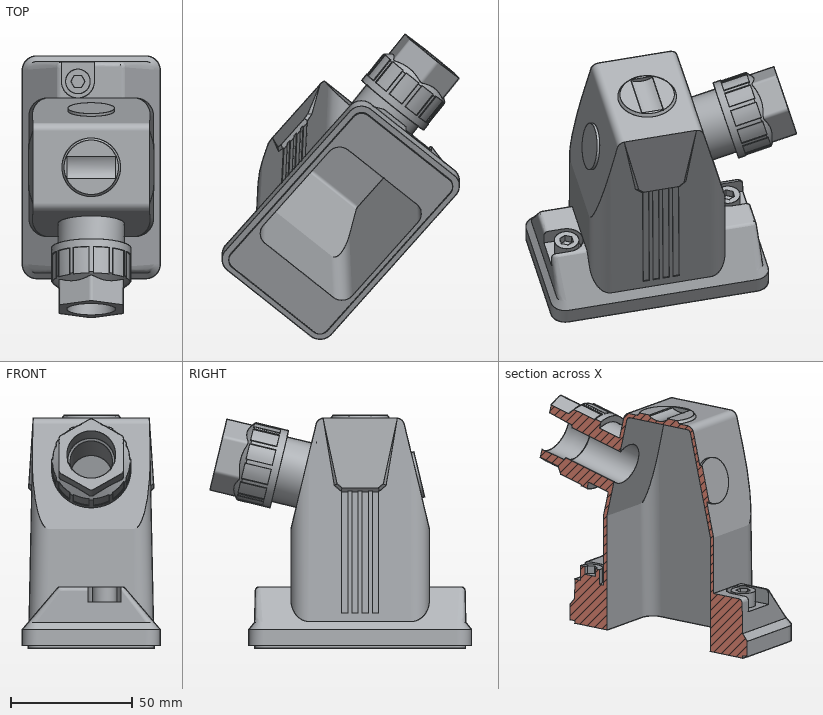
import cadquery as cq
import math

LIP_HEIGHT = 1.1
LIP_INSET = 2.5
LIP_CORNER_RADIUS = 4.2
FLANGE_HALF_X = 28.5
FLANGE_HALF_Y = 46.0
FLANGE_TOP = 7.8
FLANGE_CORNER_RADIUS = 6.0
BEVEL_TOP = 10.7
BEVEL_END_INSET = 2.4
BEVEL_CORNER_RADIUS = 3.5
BASE_TOP = 25.4
BASE_TOP_HALF_X = 13.5
BASE_TOP_HALF_Y = 43.3
BASE_TOP_CORNER_RADIUS = 2.2
BASE_TOP_FILLET = 1.8

SCREW_X = 5.5
SCREW_Y = 35.4
POCKET_RADIUS = 6.8
POCKET_FLOOR = 19.1
SCREW_HEAD_RADIUS = 5.1
SOCKET_ACROSS_CORNERS = 5.8
SOCKET_DEPTH = 3.2

HOOD_TOP = 95.0
HOOD_HALF_Y = 28.6
HOOD_FOOT_HALF_X = 25.9
HOOD_TOP_HALF_X = 24.0
HOOD_CORNER_RADIUS = 7.6
SHOULDER_Z = 49.1
ROOF_TILT = 13.5
ROOF_FILLET = 3.5
WALL = 1.9

PAD_OUTER_HALF_X = 26.0
PAD_BOTTOM_Z = 64.3
PAD_TOP_HALF_Y = 15.3
PAD_CORNER_Z = 67.0
PAD_CORNER_HALF_Y = 11.2
PAD_BOTTOM_HALF_Y = 8.2
PAD_EDGE_ANGLE = 45
GROOVE_COUNT = 4
GROOVE_PITCH = 4.2
GROOVE_WIDTH = 2.6
GROOVE_DEPTH = 0.4
GROOVE_BOTTOM_Z = 14.6

TOP_PLUG_BASE_RADIUS = 12.1
TOP_PLUG_HEIGHT = 1.2
TOP_PLUG_TAPER = 0.9
SLOT_HALF_X = 10.0
SLOT_HALF_Y = 4.5
SLOT_WALL = 0.5
SLOT_DEPTH = 1.8
BLANK_PLUG_RADIUS = 9.6
BLANK_PLUG_HEIGHT = 1.2

PORT_Z = 71.5
NECK_RADIUS = 13.7
COLLAR_START = 10.4
COLLAR_LENGTH = 3.2
COLLAR_RADIUS = 16.4
PANEL_RADIUS = 16.0
RIB_COUNT = 12
RIB_WIDTH = 1.7
RIB_END = 24.7
RIB_END_CHAMFER = 0.4
CONE_LENGTH = 2.2
NUT_END = 36.3
NUT_ACROSS_FLATS = 26.6
NUT_EDGE_RADIUS = 1.7
MOUTH_RADIUS = 10.0
MOUTH_DEPTH = 8.6
SEAT_RADIUS = 9.7
SEAT_DEPTH = 11.8
SHOULDER_DEPTH = 12.5
BORE_RADIUS = 8.7

BASE_SIDE_RUN_PER_RISE = (FLANGE_HALF_X - BASE_TOP_HALF_X) / (BASE_TOP - FLANGE_TOP)
BEVEL_HALF_X = FLANGE_HALF_X - (BEVEL_TOP - FLANGE_TOP) * BASE_SIDE_RUN_PER_RISE
BEVEL_HALF_Y = FLANGE_HALF_Y - BEVEL_END_INSET
TILT = math.radians(ROOF_TILT)
PORT_Y = HOOD_HALF_Y - (PORT_Z - SHOULDER_Z) * math.tan(TILT)


def both_ends(solid):
    """Join a solid with its copy turned half a turn about Z."""
    return solid.union(solid.rotate((0, 0, 0), (0, 0, 1), 180))


def rounded_rectangle(half_x, half_y, radius):
    return cq.Sketch().rect(2 * half_x, 2 * half_y).vertices().fillet(radius)


def rounded_block(bottom_z, bottom, top_z, top):
    """Solid between two rounded rectangles at the given heights."""
    raised_top = top.moved(cq.Location(cq.Vector(0, 0, top_z - bottom_z)))
    return cq.Workplane("XY", origin=(0, 0, bottom_z)).placeSketch(bottom, raised_top).loft(ruled=True)


def make_base():
    """Flange on a recessed lip, with a sloping ridge that carries the screws at its ends."""
    lip_half_x = FLANGE_HALF_X - LIP_INSET
    lip_half_y = FLANGE_HALF_Y - LIP_INSET
    lip_outline = rounded_rectangle(lip_half_x, lip_half_y, LIP_CORNER_RADIUS)
    flange_outline = rounded_rectangle(FLANGE_HALF_X, FLANGE_HALF_Y, FLANGE_CORNER_RADIUS)
    bevel_outline = rounded_rectangle(BEVEL_HALF_X, BEVEL_HALF_Y, BEVEL_CORNER_RADIUS)
    ridge_outline = rounded_rectangle(BASE_TOP_HALF_X, BASE_TOP_HALF_Y, BASE_TOP_CORNER_RADIUS)
    lip = rounded_block(0, lip_outline, LIP_HEIGHT, lip_outline)
    plate = rounded_block(LIP_HEIGHT, flange_outline, FLANGE_TOP, flange_outline)
    bevel = rounded_block(FLANGE_TOP, flange_outline, BEVEL_TOP, bevel_outline)
    ridge = rounded_block(BEVEL_TOP, bevel_outline, BASE_TOP, ridge_outline)
    ridge = ridge.faces(">Z").edges().fillet(BASE_TOP_FILLET)
    return lip.union(plate).union(bevel).union(ridge)


def make_screw_pocket():
    channel_length = FLANGE_HALF_Y - SCREW_Y
    height = BASE_TOP - POCKET_FLOOR
    floor = cq.Workplane("XY", origin=(SCREW_X, -SCREW_Y, POCKET_FLOOR))
    channel = floor.center(0, -channel_length / 2).rect(2 * POCKET_RADIUS, channel_length).extrude(height)
    return both_ends(floor.circle(POCKET_RADIUS).extrude(height).union(channel))


def make_screw():
    head = (
        cq.Workplane("XY", origin=(SCREW_X, -SCREW_Y, POCKET_FLOOR))
        .circle(SCREW_HEAD_RADIUS)
        .extrude(BASE_TOP - POCKET_FLOOR)
        .faces(">Z")
        .workplane()
        .polygon(6, SOCKET_ACROSS_CORNERS)
        .cutBlind(-SOCKET_DEPTH)
    )
    return both_ends(head)


def hood_body(bottom_z, inset):
    """Drafted hood with a sloping roof, shrunk by an inset to give its cavity."""
    top_z = HOOD_TOP - inset
    half_y = HOOD_HALF_Y - inset
    foot_x = HOOD_FOOT_HALF_X - inset
    top_x = HOOD_TOP_HALF_X - inset
    shoulder_z = SHOULDER_Z - inset * math.tan(TILT / 2)
    roof_half_y = half_y - (top_z - shoulder_z) * math.tan(TILT)
    drafted = (
        cq.Workplane("XZ")
        .polyline([(-foot_x, bottom_z), (foot_x, bottom_z), (top_x, top_z), (-top_x, top_z)])
        .close()
        .extrude(half_y, both=True)
        .faces("<Y or >Y")
        .edges("not #Z")
        .fillet(HOOD_CORNER_RADIUS - inset)
    )
    profile = (
        cq.Workplane("YZ")
        .polyline([
            (-half_y, bottom_z),
            (half_y, bottom_z),
            (half_y, shoulder_z),
            (roof_half_y, top_z),
            (-roof_half_y, top_z),
            (-half_y, shoulder_z),
        ])
        .close()
        .extrude(FLANGE_HALF_X, both=True)
        .faces(">Z")
        .edges("|X")
        .fillet(ROOF_FILLET - inset)
    )
    return drafted.intersect(profile)


def make_grip_pads():
    """Wedges that are flush with the hood at its top and stand out towards their bottom."""
    raised = (
        cq.Workplane("YZ", origin=(HOOD_TOP_HALF_X, 0, 0))
        .polyline([
            (-PAD_TOP_HALF_Y, HOOD_TOP),
            (-PAD_CORNER_HALF_Y, PAD_CORNER_Z),
            (-PAD_BOTTOM_HALF_Y, PAD_BOTTOM_Z),
            (PAD_BOTTOM_HALF_Y, PAD_BOTTOM_Z),
            (PAD_CORNER_HALF_Y, PAD_CORNER_Z),
            (PAD_TOP_HALF_Y, HOOD_TOP),
        ])
        .close()
        .extrude(PAD_OUTER_HALF_X - HOOD_TOP_HALF_X, taper=PAD_EDGE_ANGLE)
    )
    wedge = (
        cq.Workplane("XZ")
        .polyline([
            (0, HOOD_TOP),
            (HOOD_TOP_HALF_X, HOOD_TOP),
            (PAD_OUTER_HALF_X, PAD_BOTTOM_Z),
            (0, PAD_BOTTOM_Z),
        ])
        .close()
        .extrude(HOOD_HALF_Y, both=True)
    )
    return both_ends(raised.intersect(wedge))


def make_side_grooves():
    """Upright grooves, of even depth in the drafted hood sides, from the foot up to the pads."""
    draft_run_per_rise = (HOOD_FOOT_HALF_X - HOOD_TOP_HALF_X) / (HOOD_TOP - LIP_HEIGHT)
    floor_foot = HOOD_FOOT_HALF_X - GROOVE_DEPTH - draft_run_per_rise * (GROOVE_BOTTOM_Z - LIP_HEIGHT)
    floor_top = HOOD_FOOT_HALF_X - GROOVE_DEPTH - draft_run_per_rise * (PAD_CORNER_Z - LIP_HEIGHT)
    grooves = cq.Workplane("XY")
    for index in range(GROOVE_COUNT):
        y = (index - (GROOVE_COUNT - 1) / 2) * GROOVE_PITCH
        grooves = grooves.union(
            cq.Workplane("XZ", origin=(0, y, 0))
            .polyline([
                (floor_foot, GROOVE_BOTTOM_Z),
                (FLANGE_HALF_X, GROOVE_BOTTOM_Z),
                (FLANGE_HALF_X, PAD_CORNER_Z),
                (floor_top, PAD_CORNER_Z),
            ])
            .close()
            .extrude(GROOVE_WIDTH / 2, both=True)
        )
    return both_ends(grooves)


def make_top_plug():
    return (
        cq.Workplane("XY", origin=(0, 0, HOOD_TOP))
        .circle(TOP_PLUG_BASE_RADIUS)
        .workplane(offset=TOP_PLUG_HEIGHT)
        .circle(TOP_PLUG_BASE_RADIUS - TOP_PLUG_TAPER)
        .loft()
    )


def make_coin_slot():
    """Trough of circular section along X, cut through the top plug."""
    top = HOOD_TOP + TOP_PLUG_HEIGHT
    return (
        cq.Workplane("YZ")
        .moveTo(-SLOT_HALF_Y, top)
        .lineTo(-SLOT_HALF_Y, top - SLOT_WALL)
        .threePointArc((0, top - SLOT_DEPTH), (SLOT_HALF_Y, top - SLOT_WALL))
        .lineTo(SLOT_HALF_Y, top)
        .close()
        .extrude(SLOT_HALF_X, both=True)
    )


def port_frame(side, offset):
    """Work plane parallel to a sloping hood face, at an offset from its port centre."""
    normal = cq.Vector(0, side * math.cos(TILT), math.sin(TILT))
    centre = cq.Vector(0, side * PORT_Y, PORT_Z) + normal * offset
    return cq.Workplane(cq.Plane(origin=centre, xDir=(1, 0, 0), normal=normal))


def make_blank_plug():
    return port_frame(1, 0).circle(BLANK_PLUG_RADIUS).extrude(BLANK_PLUG_HEIGHT)


def gland_cylinder(start, end, radius):
    return port_frame(-1, start).circle(radius).extrude(end - start)


def gland_frustum(start, end, start_radius, end_radius):
    return port_frame(-1, start).circle(start_radius).workplane(offset=end - start).circle(end_radius).loft()


def make_gland_nut():
    corner_to_corner = NUT_ACROSS_FLATS / math.cos(math.radians(30))
    nut_start = COLLAR_START + COLLAR_LENGTH
    hexagon = (
        port_frame(-1, nut_start)
        .transformed(rotate=(0, 0, 90))
        .polygon(6, corner_to_corner)
        .extrude(NUT_END - nut_start)
    )
    axis = port_frame(-1, 0).plane.zDir
    return hexagon.edges(cq.selectors.ParallelDirSelector(axis)).fillet(NUT_EDGE_RADIUS)


def make_gland_ribs():
    start = COLLAR_START + COLLAR_LENGTH
    ribs = cq.Workplane("XY")
    for index in range(RIB_COUNT):
        rib = (
            port_frame(-1, start)
            .transformed(rotate=(0, 0, index * 360 / RIB_COUNT))
            .center(COLLAR_RADIUS / 2, 0)
            .rect(COLLAR_RADIUS, RIB_WIDTH)
            .extrude(RIB_END - start)
        )
        ribs = ribs.union(rib)
    chamfer_start = RIB_END - RIB_END_CHAMFER
    envelope = gland_cylinder(start, chamfer_start, COLLAR_RADIUS).union(
        gland_frustum(chamfer_start, RIB_END, COLLAR_RADIUS, PANEL_RADIUS)
    )
    return ribs.intersect(envelope)


def make_gland():
    collar_end = COLLAR_START + COLLAR_LENGTH
    return (
        gland_cylinder(-WALL, COLLAR_START, NECK_RADIUS)
        .union(gland_cylinder(COLLAR_START, collar_end, COLLAR_RADIUS))
        .union(gland_cylinder(collar_end, RIB_END, PANEL_RADIUS))
        .union(make_gland_ribs())
        .union(gland_frustum(RIB_END, RIB_END + CONE_LENGTH, PANEL_RADIUS, NUT_ACROSS_FLATS / 2))
        .union(make_gland_nut())
    )


def make_gland_bore():
    """Cable passage: tapered mouth, seal seat, sloping shoulder and a bore into the hood cavity."""
    mouth_end = NUT_END - MOUTH_DEPTH
    seat_end = NUT_END - SEAT_DEPTH
    shoulder_end = NUT_END - SHOULDER_DEPTH
    return (
        gland_frustum(mouth_end, NUT_END, SEAT_RADIUS, MOUTH_RADIUS)
        .union(gland_cylinder(seat_end, mouth_end, SEAT_RADIUS))
        .union(gland_frustum(shoulder_end, seat_end, BORE_RADIUS, SEAT_RADIUS))
        .union(gland_cylinder(-WALL, shoulder_end, BORE_RADIUS))
    )


base = make_base().cut(make_screw_pocket()).union(make_screw())
hood = hood_body(LIP_HEIGHT, 0).cut(make_side_grooves()).union(make_grip_pads())
plugs = make_top_plug().union(make_blank_plug())
result = (
    base.union(hood)
    .union(plugs)
    .union(make_gland())
    .cut(make_coin_slot())
    .cut(hood_body(0, WALL))
    .cut(make_gland_bore())
)